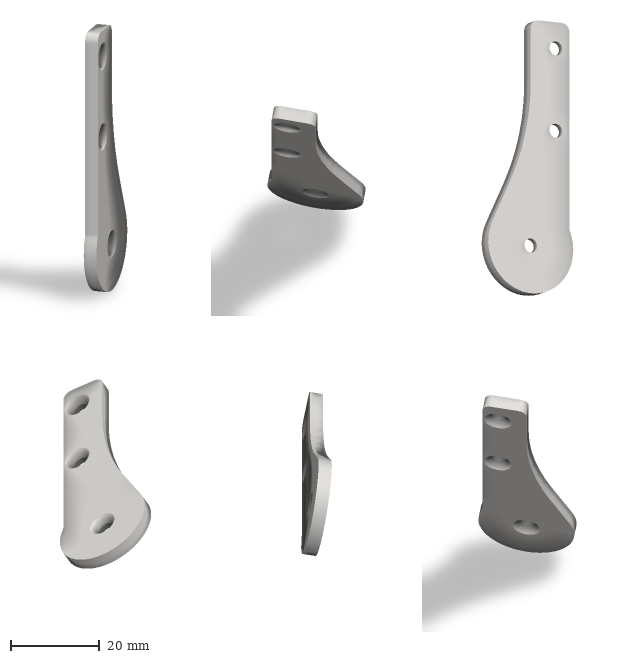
import cadquery as cq
import math

total_height = 63.0
thickness = 3.0
disc_diameter = 22.0
arm_width = 10.0
corner_radius = 2.0
neck_radius = 2.0
flank_radius = 55.0
flank_start_z = 38.0
hole_diameter = 3.2
countersink_diameter = 6.3
countersink_angle = 90.0
arm_hole_y = -6.5
arm_hole_heights = (27.0, 46.0)

disc_radius = disc_diameter / 2
arm_top_z = total_height - disc_radius


def polar(center, radius, angle):
    """Point at an angle, in radians from +Y towards +Z, around a (y, z) center."""
    return (center[0] + radius * math.cos(angle), center[1] + radius * math.sin(angle))


def plate_outline():
    """Closed outline in the YZ plane: straight arm blended into a round disc."""
    disc_center = (0, 0)

    flank_center = (flank_radius, flank_start_z)
    center_distance = math.hypot(*flank_center)
    center_angle = math.atan2(flank_start_z, flank_radius)
    tangent_angle = center_angle - math.acos((disc_radius + flank_radius) / center_distance)
    flank_end = polar(flank_center, -flank_radius, tangent_angle)
    flank_middle = polar(flank_center, -flank_radius, tangent_angle / 2)
    disc_start = polar(disc_center, disc_radius, tangent_angle)

    neck_y = -(arm_width + neck_radius)
    neck_z = math.sqrt((disc_radius + neck_radius) ** 2 - neck_y**2)
    neck_center = (neck_y, neck_z)
    neck_angle = math.atan2(neck_z, -neck_y)
    disc_end = polar(disc_center, disc_radius, math.pi - neck_angle)
    neck_middle = polar(neck_center, neck_radius, -neck_angle / 2)

    return (
        cq.Workplane("YZ")
        .moveTo(0, arm_top_z)
        .lineTo(0, flank_start_z)
        .threePointArc(flank_middle, flank_end)
        .lineTo(*disc_start)
        .threePointArc((0, -disc_radius), disc_end)
        .threePointArc(neck_middle, (-arm_width, neck_z))
        .lineTo(-arm_width, arm_top_z)
        .close()
    )


def make_plate():
    """Flat plate centered on X, with both corners at the arm's top rounded."""
    plate = plate_outline().extrude(thickness / 2, both=True)
    return plate.faces(">Z").edges("|X").fillet(corner_radius)


def cut_screw_holes(plate):
    """One hole at the disc center and two along the arm, countersunk from the +X face."""
    hole_centers = [(0, 0)] + [(arm_hole_y, height) for height in arm_hole_heights]
    return (
        plate.faces(">X")
        .workplane(origin=(0, 0, 0))
        .pushPoints(hole_centers)
        .cskHole(hole_diameter, countersink_diameter, countersink_angle)
    )


result = cut_screw_holes(make_plate())